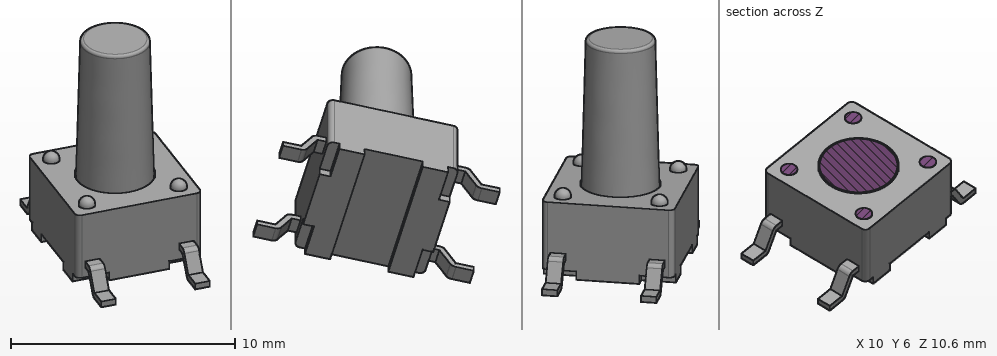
import cadquery as cq
import math

total_height = 10.6
lead_span = 10.0
body_size = 6.0

body_bottom = 0.1
feet_top = 0.5
body_top = 3.7
corner_radius = 0.25
channel_width = 2.68
foot_notch_x = 0.5
foot_notch_y = 1.57

dome_diameter = 0.75
dome_height = 0.4
dome_offset = 2.19

lead_thickness = 0.3
lead_width = 0.7
lead_offset = 2.25
lead_top = 1.3
shoulder_length = 0.4
bend_angle = math.radians(60)

hole_diameter = 3.6
hole_depth = 0.3
button_diameter = 3.5
button_top_diameter = 3.12
button_edge_radius = 0.15


def make_shell():
    """Square block with rounded upright edges, above the feet."""
    return (
        cq.Workplane("XY", origin=(0, 0, feet_top))
        .rect(body_size, body_size)
        .extrude(body_top - feet_top)
        .edges("|Z")
        .fillet(corner_radius)
    )


def make_feet():
    """Layer under the shell, with notched corners and a channel along Y."""
    height = feet_top - body_bottom
    bottom_plane = cq.Workplane("XY", origin=(0, 0, body_bottom))
    layer = bottom_plane.rect(body_size, body_size).extrude(height)
    channel = bottom_plane.rect(channel_width, body_size).extrude(height)
    corner_notches = (
        bottom_plane.rect(body_size, body_size, forConstruction=True)
        .vertices()
        .rect(2 * foot_notch_x, 2 * foot_notch_y)
        .extrude(height)
    )
    return layer.cut(channel).cut(corner_notches)


def make_dome(x, y):
    """Short cylinder ending in a hemisphere."""
    radius = dome_diameter / 2
    neck_top = body_top + dome_height - radius
    profile = (
        cq.Workplane("XZ")
        .moveTo(0, body_top)
        .lineTo(radius, body_top)
        .lineTo(radius, neck_top)
        .radiusArc((0, neck_top + radius), -radius)
        .close()
    )
    return profile.revolve(360, (0, 0, 0), (0, 1, 0)).translate((x, y, 0))


def make_lead(side_x, side_y):
    """Gull-wing lead: each bend is sharp inside and round outside."""
    normal_x = lead_thickness * math.sin(bend_angle)
    normal_z = lead_thickness * math.cos(bend_angle)
    half_x = lead_thickness * math.sin(bend_angle / 2)
    half_z = lead_thickness * math.cos(bend_angle / 2)

    wall_x = body_size / 2
    tip_x = lead_span / 2
    lead_underside = lead_top - lead_thickness
    upper_bend_x = wall_x + shoulder_length
    slope_drop = lead_underside + normal_z - lead_thickness
    lower_bend_x = upper_bend_x + normal_x + slope_drop / math.tan(bend_angle)

    lead = (
        cq.Workplane("XZ")
        .moveTo(wall_x, lead_underside)
        .lineTo(wall_x, lead_top)
        .lineTo(upper_bend_x, lead_top)
        .threePointArc(
            (upper_bend_x + half_x, lead_underside + half_z),
            (upper_bend_x + normal_x, lead_underside + normal_z),
        )
        .lineTo(lower_bend_x, lead_thickness)
        .lineTo(tip_x, lead_thickness)
        .lineTo(tip_x, 0)
        .lineTo(lower_bend_x, 0)
        .threePointArc(
            (lower_bend_x - half_x, lead_thickness - half_z),
            (lower_bend_x - normal_x, lead_thickness - normal_z),
        )
        .lineTo(upper_bend_x, lead_underside)
        .close()
        .extrude(lead_width / 2, both=True)
    )
    if side_x < 0:
        lead = lead.mirror("YZ")
    return lead.translate((0, side_y * lead_offset, 0))


def make_housing():
    """Housing with its feet, domes, leads and the blind hole for the button."""
    housing = make_shell().union(make_feet())
    for side_x in (-1, 1):
        for side_y in (-1, 1):
            housing = housing.union(make_dome(side_x * dome_offset, side_y * dome_offset))
            housing = housing.union(make_lead(side_x, side_y))
    hole = (
        cq.Workplane("XY", origin=(0, 0, body_top - hole_depth))
        .circle(hole_diameter / 2)
        .extrude(hole_depth)
    )
    return housing.cut(hole)


def make_button():
    """Tapered plunger with a rounded top edge, standing on the hole floor."""
    radius = button_diameter / 2
    top_radius = button_top_diameter / 2
    profile = (
        cq.Workplane("XZ")
        .moveTo(0, body_top - hole_depth)
        .lineTo(radius, body_top - hole_depth)
        .lineTo(top_radius, total_height)
        .lineTo(0, total_height)
        .close()
    )
    button = profile.revolve(360, (0, 0, 0), (0, 1, 0))
    return button.faces(">Z").edges().fillet(button_edge_radius)


housing = make_housing().solids()
button = make_button().solids()
result = cq.Compound.makeCompound([housing.val(), button.val()])